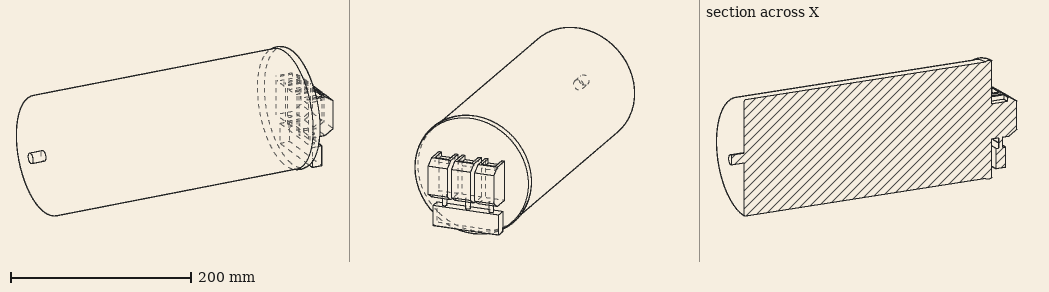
import cadquery as cq
import math

can_diameter = 136.5
can_length = 310.0
base_fillet = 2.0

rim_diameter = 139.0
rim_width = 8.6

stud_diameter = 12.0
stud_length = 16.0

terminal_count = 3
terminal_pitch = 28.0
terminal_width = 23.0
terminal_length = 31.0
terminal_height = 46.5
bevel_length = 10.0
bevel_height = 6.5

pocket_width = 16.3
pocket_length = 19.0
pocket_depth = 5.0

module_length = 12.0
module_height = 24.0
module_center_y = 11.0
lead_diameter = 5.2
lead_gap = 11.5

terminal_top = terminal_height / 2
module_top = -terminal_top - lead_gap
outer_terminal_x = terminal_pitch * (terminal_count - 1) / 2
terminal_centers = [i * terminal_pitch - outer_terminal_x for i in range(terminal_count)]
module_width = 2 * outer_terminal_x + terminal_width


def make_can():
    """Revolved can with a rounded base edge and a bulging rim at the lid."""
    can_radius = can_diameter / 2
    rim_radius = rim_diameter / 2
    fillet_middle = base_fillet * (1 - math.sqrt(0.5))
    profile = (
        cq.Workplane("XY")
        .moveTo(0, 0)
        .lineTo(can_radius, 0)
        .threePointArc((rim_radius, -rim_width / 2), (can_radius, -rim_width))
        .lineTo(can_radius, base_fillet - can_length)
        .threePointArc(
            (can_radius - fillet_middle, fillet_middle - can_length),
            (can_radius - base_fillet, -can_length),
        )
        .lineTo(0, -can_length)
        .close()
    )
    return profile.revolve(360, (0, 0, 0), (0, 1, 0))


def make_stud():
    """Stud on the can axis, standing out from the base."""
    return (
        cq.Workplane("XZ", origin=(0, -can_length, 0))
        .circle(stud_diameter / 2)
        .extrude(stud_length)
    )


def make_terminal(center_x):
    """Terminal block with bevelled outer edges and a pocket in its top."""
    bevel_start = terminal_length - bevel_length
    end_top = terminal_top - bevel_height
    block = (
        cq.Workplane("YZ", origin=(center_x, 0, 0))
        .polyline([
            (0, -terminal_top),
            (bevel_start, -terminal_top),
            (terminal_length, -end_top),
            (terminal_length, end_top),
            (bevel_start, terminal_top),
            (0, terminal_top),
        ])
        .close()
        .extrude(terminal_width / 2, both=True)
    )
    pocket = cq.Workplane("XY").box(
        pocket_width, pocket_length, pocket_depth, centered=(True, False, False)
    )
    return block.cut(pocket.translate((center_x, 0, terminal_top - pocket_depth)))


def make_lead(center_x):
    """Round lead from the underside of a terminal block to the module."""
    return (
        cq.Workplane("XY", origin=(center_x, module_center_y, module_top))
        .circle(lead_diameter / 2)
        .extrude(lead_gap)
    )


def make_module():
    """Discharge module spanning all the terminal blocks."""
    module = cq.Workplane("XY").box(
        module_width, module_length, module_height, centered=(True, True, False)
    )
    return module.translate((0, module_center_y, module_top - module_height))


result = make_can().union(make_stud()).union(make_module())
for terminal_x in terminal_centers:
    result = result.union(make_terminal(terminal_x)).union(make_lead(terminal_x))